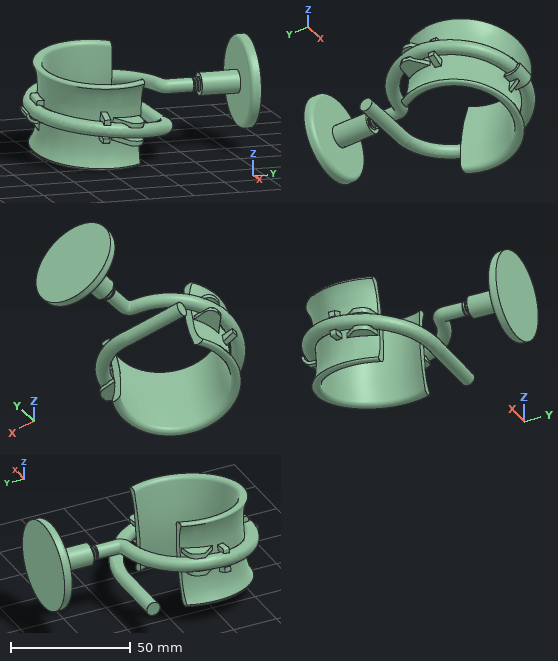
import math

import cadquery as cq


plate_back_y = 66.0
plate_diameter = 40.0
plate_thickness = 4.4
plate_edge_radius = 1.9
socket_diameter = 10.0
socket_length = 16.9
bore_depth = 7.9

rod_diameter = 6.3
ring_radius = 28.5
ring_drop = 15.9
helix_turns = 0.75
lead_angle = 11.5
lead_length = 3.2
shoulder_y = 41.6
thread_diameter = 6.2
thread_root_diameter = 5.0
thread_pitch = 1.3
ridge_overlap = 0.2
ridge_base_share = 0.95
tail_length = 28.6

saddle_center = (0.5, -0.9, -5.6)
saddle_tilt = 8.9
saddle_half_height = 19.1
saddle_open_y = 12.7
neck_radius = 25.0
flare_angle = 33.0
rim_radius = 27.6
rim_round = 1.2
land_radius = 25.6
lip_radius = 23.5
lip_height = 2.3
throat_radius = 22.0

lug_root_radius = 23.8
lug_top = 5.6
wing_thickness = 2.1
wing_inset = 0.5
wing_front_y = 5.8
wing_root_y = -13.4
wing_front_round = 1.0
wing_back_round = 4.0
wing_pitch = 5.0
wing_pivot_y = 5.9
upper_wing_reach = 31.7
upper_wing_bottom = 4.6
lower_wing_reach = 31.4
lower_wing_bottom = -3.4
stop_back_y = -3.4
stop_width = 2.8
stop_reach = 30.2
stop_round = 0.9
stop_gap_top = 3.3
stop_gap_bottom = -2.8
lower_stop_tip = -5.2
lower_stop_root = -6.5
clip_width = 8.9
front_stop_reach = 27.8
front_stop_bottom = 3.0
hook_thickness = 1.4
rib_width = 1.8
rib_reach = 29.2
rib_bottom = -9.6

rod_radius = rod_diameter / 2
plate_front_y = plate_back_y - plate_thickness
socket_front_y = plate_front_y - socket_length
thread_end_y = socket_front_y + bore_depth
diagonal = math.sqrt(0.5)
flare_top = saddle_half_height - rim_round
rim_round_middle = (rim_radius - rim_round * (1 - diagonal), flare_top + rim_round * diagonal)
lip_start = saddle_half_height - lip_height
lip_middle = (
    land_radius - (land_radius - lip_radius) * diagonal,
    lip_start + lip_height * diagonal,
)
lug_root = -lug_root_radius / 2
hook_radius = rod_radius + hook_thickness


def y_cylinder(diameter, start_y, end_y):
    return (
        cq.Workplane("XZ", origin=(0, start_y, 0))
        .circle(diameter / 2)
        .extrude(start_y - end_y)
    )


def make_plate():
    disc = y_cylinder(plate_diameter, plate_front_y, plate_back_y)
    return disc.faces("<Y").edges().fillet(plate_edge_radius)


def make_socket():
    barrel = y_cylinder(socket_diameter, socket_front_y, plate_front_y)
    return barrel.cut(y_cylinder(rod_diameter, socket_front_y, thread_end_y))


def make_thread():
    """Right-handed V ridge on a root-diameter core, running along +Y."""
    base_radius = thread_root_diameter / 2 - ridge_overlap
    half_base = ridge_base_share * thread_pitch / 2
    start_y = shoulder_y - thread_pitch / 4
    ridge_rise = thread_end_y - half_base - start_y
    helix = cq.Wire.makeHelix(thread_pitch, ridge_rise, base_radius)
    ridge = (
        cq.Workplane("XZ")
        .polyline([(base_radius, -half_base), (thread_diameter / 2, 0), (base_radius, half_base)])
        .close()
        .sweep(cq.Workplane(obj=helix), isFrenet=True)
        .rotate((0, 0, 0), (0, 0, 1), 180)
        .rotate((0, 0, 0), (1, 0, 0), -90)
        .translate((0, start_y, 0))
    )
    core = y_cylinder(thread_root_diameter, shoulder_y - ridge_overlap, thread_end_y)
    return core.union(ridge)


def make_shank():
    """Straight lead off the ring, elbow, and the shank up to the thread."""
    angle = math.radians(lead_angle)
    lead_start = cq.Vector(-ring_radius * math.sin(angle), ring_radius * math.cos(angle), 0)
    direction = cq.Vector(math.cos(angle), math.sin(angle), 0)
    lead = cq.Workplane(cq.Plane(lead_start, (0, 0, 1), direction)).circle(rod_radius).extrude(lead_length)

    bend_start = lead_start + direction * lead_length
    bend_radius = -bend_start.x / (1 - math.sin(angle))
    bend = (
        cq.Workplane(cq.Plane(bend_start, (0, 0, 1), direction))
        .circle(rod_radius)
        .revolve(90 - lead_angle, (0, -bend_radius, 0), (1, -bend_radius, 0))
    )
    shank_start_y = bend_start.y + bend_radius * math.cos(angle)
    return lead.union(bend).union(y_cylinder(rod_diameter, shank_start_y, shoulder_y))


def make_ring_turn():
    """Flat quarter ring on -X, then a helix falling three quarters of a turn, then the tail."""
    flat_arc = (
        cq.Workplane("XZ")
        .center(-ring_radius, 0)
        .circle(rod_radius)
        .revolve(90 - lead_angle, (ring_radius, 0, 0), (ring_radius, -1, 0))
    )
    helix = cq.Wire.makeHelix(ring_drop / helix_turns, ring_drop, ring_radius, lefthand=True)
    falling_arc = (
        cq.Workplane("XZ")
        .center(ring_radius, 0)
        .circle(rod_radius)
        .sweep(cq.Workplane(obj=helix), isFrenet=True)
        .rotate((0, 0, 0), (0, 0, 1), 90)
        .translate((0, 0, -ring_drop))
    )
    tail = (
        cq.Workplane("YZ")
        .center(ring_radius, -ring_drop)
        .circle(rod_radius)
        .extrude(-tail_length)
    )
    return flat_arc.union(falling_arc).union(tail)


def make_ring_rod():
    return make_ring_turn().union(make_shank()).union(make_thread())


def make_spool():
    """Flared wall with rounded lips, cut flat at the open back."""
    flare_x = math.sin(math.radians(flare_angle))
    flare_z = math.cos(math.radians(flare_angle))
    profile = (
        cq.Workplane("XZ")
        .moveTo(rim_radius, -flare_top)
        .spline([(neck_radius, 0), (rim_radius, flare_top)],
                tangents=[(-flare_x, flare_z), (flare_x, flare_z)], includeCurrent=True)
        .threePointArc(rim_round_middle, (rim_radius - rim_round, saddle_half_height))
        .lineTo(land_radius, saddle_half_height)
        .threePointArc(lip_middle, (lip_radius, lip_start))
        .threePointArc((throat_radius, 0), (lip_radius, -lip_start))
        .threePointArc((lip_middle[0], -lip_middle[1]), (land_radius, -saddle_half_height))
        .lineTo(rim_radius - rim_round, -saddle_half_height)
        .threePointArc((rim_round_middle[0], -rim_round_middle[1]), (rim_radius, -flare_top))
        .close()
    )
    spool = profile.revolve(360, (0, 0, 0), (0, 1, 0))
    opening = cq.Workplane("XY").box(3 * rim_radius, rim_radius, 3 * saddle_half_height)
    return spool.cut(opening.translate((0, saddle_open_y + rim_radius / 2, 0)))


def make_wing(reach, bottom):
    """Flat ear on the -X side."""
    back_y = saddle_open_y - wing_inset
    return (
        cq.Workplane("XY", origin=(0, 0, bottom))
        .polyline([(lug_root, back_y), (-reach, back_y), (-reach, wing_front_y), (lug_root, wing_root_y)])
        .close()
        .extrude(wing_thickness)
        .edges("|Z and <X").edges("<Y").fillet(wing_front_round)
        .edges("|Z and <X").edges(">Y").fillet(wing_back_round)
        .rotate((0, wing_pivot_y, bottom), (1, wing_pivot_y, bottom), wing_pitch)
    )


def make_side_stops():
    """Small stops above and below the ring on the -X side."""
    def stop(outline):
        face = cq.Workplane("XZ", origin=(0, stop_back_y, 0)).polyline(outline).close()
        return face.extrude(stop_width)

    upper = stop([
        (lug_root, stop_gap_top),
        (-stop_reach, stop_gap_top),
        (-stop_reach, lug_top),
        (lug_root, lug_top),
    ]).edges("|Y and <X and >Z").fillet(stop_round)
    lower = stop([
        (lug_root, stop_gap_bottom),
        (-stop_reach, stop_gap_bottom),
        (-stop_reach, lower_stop_tip),
        (-neck_radius, lower_stop_root),
        (lug_root, lower_stop_root),
    ])
    return [upper, lower]


def make_front_stop():
    """Block above the ring at the front."""
    stop = (
        cq.Workplane("YZ", origin=(-clip_width / 2, 0, 0))
        .moveTo(lug_root, front_stop_bottom)
        .lineTo(-front_stop_reach, front_stop_bottom)
        .lineTo(-front_stop_reach, lug_top)
        .lineTo(lug_root, lug_top)
        .close()
        .extrude(clip_width)
    )
    return stop.edges("|X and <Y and >Z").fillet(stop_round)


def make_hook():
    """Round-bottomed hook that carries the ring from below at the front."""
    ring_y = -ring_radius - saddle_center[1]
    return (
        cq.Workplane("YZ", origin=(-clip_width / 2, 0, 0))
        .moveTo(lug_root, -hook_radius)
        .lineTo(ring_y, -hook_radius)
        .threePointArc(
            (ring_y - hook_radius * diagonal, -hook_radius * diagonal), (ring_y - hook_radius, 0))
        .lineTo(ring_y - rod_radius, 0)
        .threePointArc((ring_y - rod_radius * diagonal, -rod_radius * diagonal), (ring_y, -rod_radius))
        .lineTo(lug_root, -rod_radius)
        .close()
        .extrude(clip_width)
    )


def make_rib():
    """Gusset under the hook."""
    return (
        cq.Workplane("YZ", origin=(-rib_width / 2, 0, 0))
        .polyline([
            (lug_root, -rod_radius - hook_thickness / 2),
            (-rib_reach, -rod_radius - hook_thickness / 2),
            (-neck_radius, rib_bottom),
            (lug_root, rib_bottom),
        ])
        .close()
        .extrude(rib_width)
    )


def make_saddle(ring_rod):
    side_lugs = [
        make_wing(upper_wing_reach, upper_wing_bottom),
        make_wing(lower_wing_reach, lower_wing_bottom),
        *make_side_stops(),
    ]
    far_lugs = [lug.rotate((0, 0, 0), (0, 1, 0), 180) for lug in side_lugs]
    front_lugs = [make_front_stop(), make_hook(), make_rib()]
    wall_core = cq.Workplane("XY").circle(lug_root_radius).extrude(saddle_half_height, both=True)

    saddle = make_spool()
    for lug in side_lugs + far_lugs + front_lugs:
        saddle = saddle.union(lug.cut(wall_core))
    placed = saddle.rotate((0, 0, 0), (0, 1, 0), saddle_tilt).translate(saddle_center)

    return placed.cut(ring_rod)



plate = make_plate()
socket = make_socket()
ring_rod = make_ring_rod()
saddle = make_saddle(ring_rod)

result = cq.Compound.makeCompound([plate.val(), socket.val(), ring_rod.val(), saddle.val()])